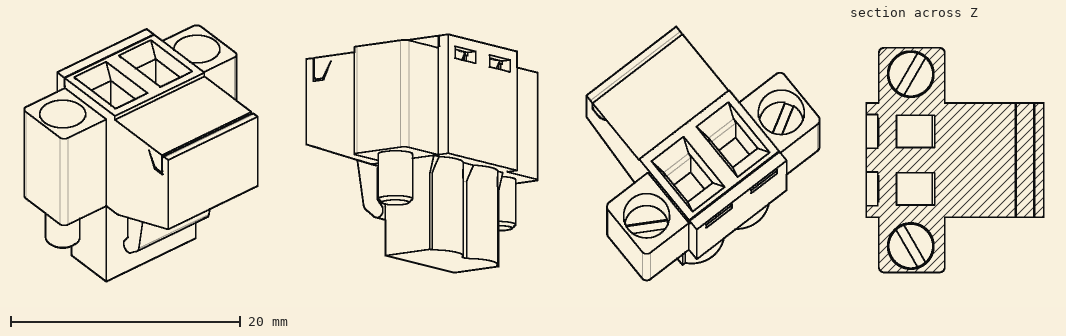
import cadquery as cq
import math


length = 15.5
height = 18.85
pitch = 5.0
poles = 2
body_width = poles * pitch
body_bottom = 8.3
rear_top = height - 0.41
step_x = 8.08
slope_start_x = 8.47
slope_angle = 20

front_wall = 1.0
gap = 0.08
lid_bottom = 17.91
latch_corner_x = 12.82
latch_foot_x = 13.6
latch_floor = 16.37
latch_wall_x = 14.7
latch_clearance = 0.15
latch_bevel = 0.14
rear_wall_round = 0.25

total_width = 19.6
flange_start_x = 1.1
flange_length = 5.78
flange_top = 17.78
flange_round = 0.5
screw_x = 3.9
screw_y = 7.49
screw_hole_dia = 4.0
screw_head_dia = 3.85
screw_hole_depth = 4.0
head_clearance_depth = 1.0
driver_slot_width = 0.8
driver_slot_depth = 0.4
driver_slot_angle = 30
pin_dia = 3.0
pin_bottom = 4.0
pin_chamfer = 0.31

plug_end_x = 6.86
plug_front_x = 0.98
plug_recess = 1.02
plug_recess_top = 0.59
relief_start_z = 6.8
post_chord = 4.4

entry_center_x = 4.38
entry_length = 5.78
entry_width = 3.57
throat_center_x = 4.37
throat_length = 3.41
throat_width = 2.78
funnel_depth = 1.2
throat_floor = 11.76
clamp_dia = 1.6
clamp_reach = 0.3

window_width = 2.92
window_bottom = 16.88
window_top = 17.93
window_lip_x = 0.86
probe_width = 2.25
probe_bottom = 17.11
probe_depth = 0.33

hook_width = 7.84
hook_bevel = 0.2
hook_front_x = 8.55
hook_tip_center = (8.55, 4.33)
hook_tip_radius = 0.6
hook_neck_z = 5.35
hook_tip_start_angle = 140
hook_tip_end_angle = 305
hook_heel_start = (9.53, 4.37)
hook_heel_mid = (9.92, 4.7)
hook_heel_end = (10.07, 5.1)
hook_root_x = 10.75

slope = math.tan(math.radians(slope_angle))
pole_ys = [(i - (poles - 1) / 2) * pitch for i in range(poles)]


def side_profile(y_width, y_center=0.0):
    """XZ workplane placed so that extruding by y_width is centred on y_center."""
    return cq.Workplane("XZ", origin=(0, y_center + y_width / 2, 0))


def box(x_range, y_width, z_range, y_center=0.0):
    (x0, x1), (z0, z1) = x_range, z_range
    corner = (x0, y_center - y_width / 2, z0)
    return cq.Workplane("XY").box(x1 - x0, y_width, z1 - z0, centered=False).translate(corner)


def slope_z(x):
    """Height of the sloping housing underside at x."""
    return body_bottom + (x - slope_start_x) * slope


def make_housing():
    outline = [
        (0, body_bottom),
        (slope_start_x, body_bottom),
        (length, slope_z(length)),
        (length, rear_top),
        (step_x, rear_top),
        (step_x, height),
        (0, height),
    ]
    return side_profile(body_width).polyline(outline).close().extrude(body_width)


def make_lid_gaps():
    """Narrow clearances around the lid: behind the front wall and around its rear latch."""
    front = box((front_wall, front_wall + gap), body_width, (lid_bottom, height))
    tab_end_x = latch_wall_x - gap
    tab_bottom = latch_floor + latch_clearance
    rear = (
        side_profile(body_width)
        .moveTo(latch_corner_x, lid_bottom)
        .lineTo(latch_foot_x, latch_floor)
        .lineTo(latch_wall_x, latch_floor)
        .lineTo(latch_wall_x, rear_top - rear_wall_round)
        .radiusArc((latch_wall_x + rear_wall_round, rear_top), rear_wall_round)
        .lineTo(tab_end_x, rear_top)
        .lineTo(tab_end_x, tab_bottom + latch_bevel)
        .lineTo(tab_end_x - latch_bevel, tab_bottom)
        .lineTo(latch_foot_x + gap, tab_bottom)
        .close()
        .extrude(body_width)
    )
    return front.union(rear)


def make_flanges():
    return (
        cq.Workplane("XY", origin=(flange_start_x + flange_length / 2, 0, body_bottom))
        .rect(flange_length, total_width)
        .extrude(flange_top - body_bottom)
        .edges("|Z")
        .fillet(flange_round)
    )


def make_pin(side):
    return (
        cq.Workplane("XY", origin=(screw_x, side * screw_y, pin_bottom))
        .circle(pin_dia / 2)
        .extrude(body_bottom - pin_bottom)
        .faces("<Z")
        .chamfer(pin_chamfer)
    )


def make_screw_recess(side):
    """Screw hole with a ring clearance around the head and a skewed driver slot in it."""
    head_z = flange_top - screw_hole_depth
    center = (screw_x, side * screw_y)
    hole = (
        cq.Workplane("XY", origin=(*center, head_z))
        .circle(screw_hole_dia / 2)
        .extrude(screw_hole_depth)
    )
    ring = (
        cq.Workplane("XY", origin=(*center, head_z - head_clearance_depth))
        .circle(screw_hole_dia / 2)
        .circle(screw_head_dia / 2)
        .extrude(head_clearance_depth)
    )
    slot = (
        cq.Workplane("XY", origin=(*center, head_z - driver_slot_depth))
        .transformed(rotate=(0, 0, -side * driver_slot_angle))
        .rect(driver_slot_width, screw_hole_dia)
        .extrude(driver_slot_depth)
    )
    slot = slot.intersect(hole.translate((0, 0, -driver_slot_depth)))
    return hole.union(ring).union(slot)


def make_plug():
    """Plug block, set back along the front with a sloping relief, plus one bulged post per pole."""
    recess_x = plug_front_x + plug_recess
    outline = [
        (recess_x, 0),
        (plug_end_x, 0),
        (plug_end_x, body_bottom),
        (plug_front_x + plug_recess_top, body_bottom),
        (recess_x, relief_start_z),
    ]
    plug = side_profile(body_width).polyline(outline).close().extrude(body_width)
    half_chord = post_chord / 2
    for y in pole_ys:
        post = (
            cq.Workplane("XY")
            .moveTo(recess_x, y - half_chord)
            .threePointArc((plug_front_x, y), (recess_x, y + half_chord))
            .close()
            .extrude(body_bottom)
        )
        plug = plug.union(post)
    return plug


def make_wire_entry(y):
    """Funnel into a straight throat whose rear wall is narrowed by a rounded clamp."""
    throat_top = height - funnel_depth
    funnel = (
        cq.Workplane("XY", origin=(entry_center_x, y, height))
        .rect(entry_length, entry_width)
        .workplane(offset=-funnel_depth)
        .center(throat_center_x - entry_center_x, 0)
        .rect(throat_length, throat_width)
        .loft(ruled=True)
    )
    front_x = throat_center_x - throat_length / 2
    rear_x = throat_center_x + throat_length / 2
    clamp_x = rear_x - clamp_reach
    clamp_radius = clamp_dia / 2
    clamp_drop = math.sqrt(clamp_radius**2 - (clamp_radius - clamp_reach) ** 2)
    throat = (
        side_profile(throat_width, y)
        .moveTo(front_x, throat_floor)
        .lineTo(clamp_x, throat_floor)
        .lineTo(clamp_x, throat_top - clamp_drop)
        .radiusArc((rear_x, throat_top), clamp_radius)
        .lineTo(front_x, throat_top)
        .close()
        .extrude(throat_width)
    )
    return funnel.union(throat)


def make_test_window(y):
    """Window through the front wall under a lip, with a narrower probe nook whose roof slopes down."""
    lip_z = height - funnel_depth
    lower = box((0, front_wall), window_width, (window_bottom, lip_z), y)
    upper = box((0, window_lip_x), window_width, (lip_z, window_top), y)
    nook_outline = [
        (window_lip_x, probe_bottom),
        (front_wall + probe_depth, probe_bottom),
        (window_lip_x, window_top),
    ]
    nook = side_profile(probe_width, y).polyline(nook_outline).close().extrude(probe_width)
    return lower.union(upper).union(nook)


def make_hook():
    """Flexible latch arm under the sloping rear, ending in a rounded tip."""

    def tip_point(angle):
        a = math.radians(angle)
        return (
            hook_tip_center[0] + hook_tip_radius * math.cos(a),
            hook_tip_center[1] + hook_tip_radius * math.sin(a),
        )

    tip_mid_angle = (hook_tip_start_angle + hook_tip_end_angle) / 2
    return (
        side_profile(hook_width)
        .moveTo(hook_front_x - hook_bevel, body_bottom)
        .lineTo(hook_front_x, body_bottom - hook_bevel)
        .lineTo(hook_front_x, hook_neck_z)
        .lineTo(*tip_point(hook_tip_start_angle))
        .threePointArc(tip_point(tip_mid_angle), tip_point(hook_tip_end_angle))
        .lineTo(*hook_heel_start)
        .threePointArc(hook_heel_mid, hook_heel_end)
        .lineTo(hook_root_x, slope_z(hook_root_x))
        .lineTo(slope_start_x, body_bottom)
        .close()
        .extrude(hook_width)
    )


result = make_housing().union(make_flanges()).union(make_plug()).union(make_hook())
result = result.cut(make_lid_gaps())
for side in (-1, 1):
    result = result.union(make_pin(side)).cut(make_screw_recess(side))
for pole_y in pole_ys:
    result = result.cut(make_wire_entry(pole_y)).cut(make_test_window(pole_y))